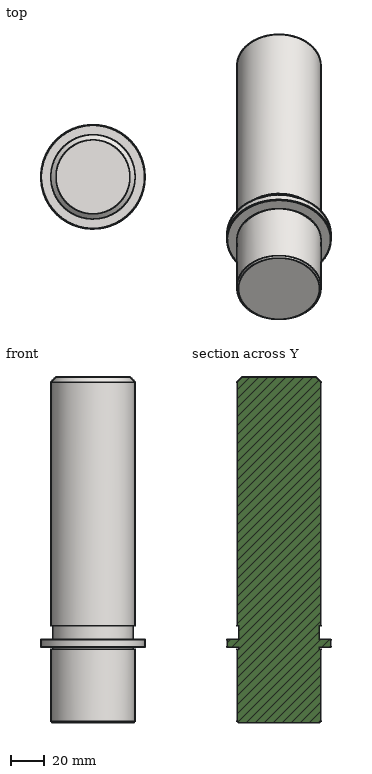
import cadquery as cq

total_height = 205.0
shaft_radius = 25.0
flange_bottom = 44.7

flange_radius = 31.0
flange_thickness = 5.0
flange_chamfer = 0.5

upper_groove_height = 7.8
groove_radius = 24.0
lower_groove_height = 1.0

top_chamfer = 3.0
bottom_chamfer = 1.0

flange_top = flange_bottom + flange_thickness
upper_groove_top = flange_top + upper_groove_height


def cylinder(radius, bottom, top):
    """Solid cylinder on the Z axis between two heights."""
    return cq.Workplane("XY").workplane(offset=bottom).circle(radius).extrude(top - bottom)


shank = cylinder(shaft_radius, 0, flange_bottom - lower_groove_height)
shank = shank.faces("<Z").chamfer(bottom_chamfer)

lower_neck = cylinder(groove_radius, flange_bottom - lower_groove_height, flange_bottom)
upper_neck = cylinder(groove_radius, flange_top, upper_groove_top)

flange = cylinder(flange_radius, flange_bottom, flange_top).edges().chamfer(flange_chamfer)

shaft = cylinder(shaft_radius, upper_groove_top, total_height)
shaft = shaft.faces(">Z").chamfer(top_chamfer)

result = shank.union(lower_neck).union(flange).union(upper_neck).union(shaft)